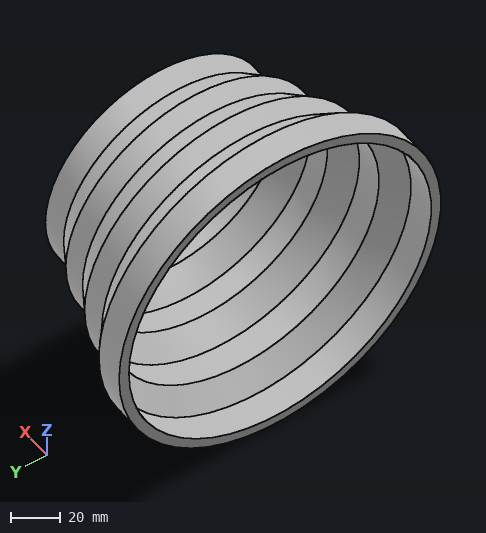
import cadquery as cq

total_length = 85.0
outer_diameters = [160, 140.0, 125.0, 110.0]
bore_diameters = [150.2, 133.1, 118.2, 103.2]

band_ends = [14.0, 37.5, 60.6, total_length]
outer_band_starts = [0, 25.6, 49.1, 72.3]

second_bore_band_start = 24.0
bore_band_starts = [0, second_bore_band_start] + outer_band_starts[2:]


def wall_points(starts, diameters):
    """Return the (x, radius) corners of one wall, from the wide end to the narrow end."""
    points = []
    for start, end, diameter in zip(starts, band_ends, diameters):
        radius = diameter / 2
        points += [(start, radius), (end, radius)]
    return points


outer_wall = wall_points(outer_band_starts, outer_diameters)
bore_wall = wall_points(bore_band_starts, bore_diameters)
wall_section = cq.Workplane("XY").polyline(outer_wall + bore_wall[::-1]).close()
result = wall_section.revolve(360, (0, 0, 0), (1, 0, 0))